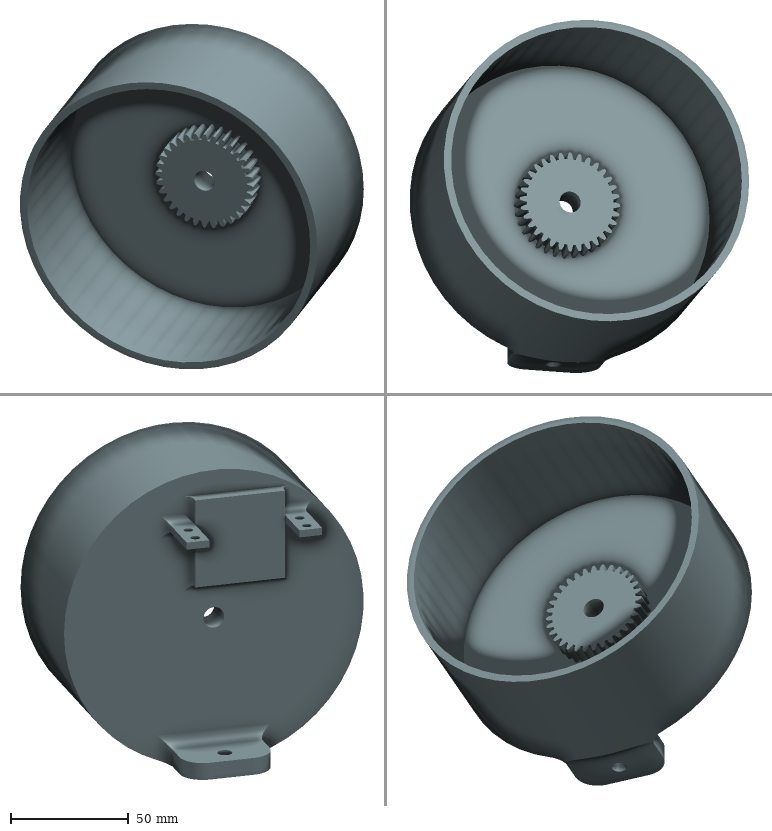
import cadquery as cq
import math

cup_diameter = 133.4
bore_diameter = 127.0
cup_depth = 60.8
floor_thickness = 3.5
shaft_hole_diameter = 9.2

tooth_count = 32
gear_tip_diameter = 43.7
gear_height = 10.5
pressure_angle = math.radians(20)
gear_module = gear_tip_diameter / (tooth_count + 2)
gear_pitch_diameter = gear_module * tooth_count
gear_dedendum = 1.25 * gear_module
gear_root_diameter = gear_pitch_diameter - 2 * gear_dedendum
gear_base_diameter = gear_pitch_diameter * math.cos(pressure_angle)

mount_height = 25.3
foot_radius = 3.3

pad_left = -30.0
pad_right = 10.0
pad_bottom = 16.5
pad_top = 55.9
pad_height = 5.6

tab_width = 10.1
tab_thickness = 3.2
tab_bottom = 41.6
tab_hole_diameter = 4.1
tab_hole_inset = 4.8
tab_hole_edge = 4.8
tab_hole_spacing = 9.9

lug_width = 40.0
lug_top = -55.7
lug_bottom = -63.3
lug_corner_radius = 10.3
lug_hole_diameter = 6.4
lug_hole_edge = 10.0
lug_foot_radius = 5.1

back_y = cup_depth / 2
inside_floor_y = back_y - floor_thickness
gear_face_y = inside_floor_y - gear_height
mount_end_y = back_y + mount_height


def cylinder_along_y(diameter, start_y, end_y):
    """Cylinder on the Y axis between two Y positions."""
    plane = cq.Workplane("XZ", origin=(0, start_y, 0))
    return plane.circle(diameter / 2).extrude(start_y - end_y)


def hole_along_z(diameter, x, y, bottom, top):
    """Drill body parallel to Z that overshoots the given plate faces."""
    overshoot = 1.3
    plane = cq.Workplane("XY", origin=(x, y, bottom - overshoot))
    return plane.circle(diameter / 2).extrude(top - bottom + 2 * overshoot)


def flared_outline(plane, low, high, height, radius, flare_high=True):
    """Upright profile on the back face, widened at its foot by concave arcs."""
    bend = radius * (1 - math.sqrt(0.5))
    foot_y = back_y + radius
    end_y = back_y + height
    outline = (
        plane.moveTo(low - radius, back_y)
        .threePointArc((low - bend, back_y + bend), (low, foot_y))
        .lineTo(low, end_y)
        .lineTo(high, end_y)
    )
    if flare_high:
        outline = outline.lineTo(high, foot_y).threePointArc(
            (high + bend, back_y + bend), (high + radius, back_y)
        )
    else:
        outline = outline.lineTo(high, back_y)
    return outline.close()


def flared_block(x_range, z_range, height, radius, flare_top=True):
    """Block on the back face with mitred concave blends around its foot."""
    across_x = flared_outline(cq.Workplane("XY"), *x_range, height, radius)
    side_plane = cq.Workplane(cq.Plane((0, 0, 0), xDir=(0, 0, 1), normal=(-1, 0, 0)))
    across_z = flared_outline(side_plane, *z_range, height, radius, flare_top)
    x_profile = across_x.extrude(cup_diameter, both=True)
    z_profile = across_z.extrude(cup_diameter, both=True)
    return x_profile.intersect(z_profile)


def make_cup():
    body = cylinder_along_y(cup_diameter, -back_y, back_y)
    return body.cut(cylinder_along_y(bore_diameter, -back_y, inside_floor_y))


def involute(angle):
    """Polar angle of an involute whose local pressure angle is given."""
    return math.tan(angle) - angle


def half_tooth_angle(diameter):
    """Half the angle that a tooth spans at a diameter; constant below the base circle."""
    flank_angle = math.acos(min(1.0, gear_base_diameter / diameter))
    return math.pi / (2 * tooth_count) + involute(pressure_angle) - involute(flank_angle)


def gear_point(diameter, angle):
    return (diameter / 2 * math.cos(angle), diameter / 2 * math.sin(angle))


def make_gear():
    root_half = half_tooth_angle(gear_root_diameter)
    pitch_half = half_tooth_angle(gear_pitch_diameter)
    tip_half = half_tooth_angle(gear_tip_diameter)
    pitch_angle = 2 * math.pi / tooth_count
    outline = cq.Workplane("XZ", origin=(0, inside_floor_y, 0))
    outline = outline.moveTo(*gear_point(gear_root_diameter, -root_half))
    for tooth in range(tooth_count):
        middle = tooth * pitch_angle
        outline = (
            outline.threePointArc(
                gear_point(gear_pitch_diameter, middle - pitch_half),
                gear_point(gear_tip_diameter, middle - tip_half),
            )
            .threePointArc(
                gear_point(gear_tip_diameter, middle),
                gear_point(gear_tip_diameter, middle + tip_half),
            )
            .threePointArc(
                gear_point(gear_pitch_diameter, middle + pitch_half),
                gear_point(gear_root_diameter, middle + root_half),
            )
            .threePointArc(
                gear_point(gear_root_diameter, middle + pitch_angle / 2),
                gear_point(gear_root_diameter, middle + pitch_angle - root_half),
            )
        )
    return outline.close().extrude(gear_height)


def make_pad():
    x_range = (pad_left, pad_right)
    z_range = (pad_bottom, pad_top)
    return flared_block(x_range, z_range, pad_height, foot_radius, flare_top=False)


def make_tab(pad_side, direction):
    """Tab that runs from one side of the pad in the -X or +X direction."""
    x_range = sorted((pad_side, pad_side + direction * tab_width))
    z_range = (tab_bottom, tab_bottom + tab_thickness)
    tab = flared_block(x_range, z_range, mount_height, foot_radius)
    hole_x = pad_side + direction * tab_hole_inset
    for hole in range(2):
        hole_y = mount_end_y - tab_hole_edge - hole * tab_hole_spacing
        tab = tab.cut(hole_along_z(tab_hole_diameter, hole_x, hole_y, *z_range))
    return tab


def make_lug():
    x_range = (-lug_width / 2, lug_width / 2)
    z_range = (lug_bottom, lug_top)
    lug = flared_block(x_range, z_range, mount_height, lug_foot_radius)
    lug = lug.edges("|Z and >Y").fillet(lug_corner_radius)
    hole_y = mount_end_y - lug_hole_edge
    return lug.cut(hole_along_z(lug_hole_diameter, 0, hole_y, *z_range))


mounts = make_pad().union(make_tab(pad_left, -1)).union(make_tab(pad_right, 1)).union(make_lug())

mounts = mounts.intersect(cylinder_along_y(cup_diameter, back_y, mount_end_y))

shaft_hole = cylinder_along_y(shaft_hole_diameter, gear_face_y, back_y)

result = make_cup().union(make_gear()).union(mounts).cut(shaft_hole)